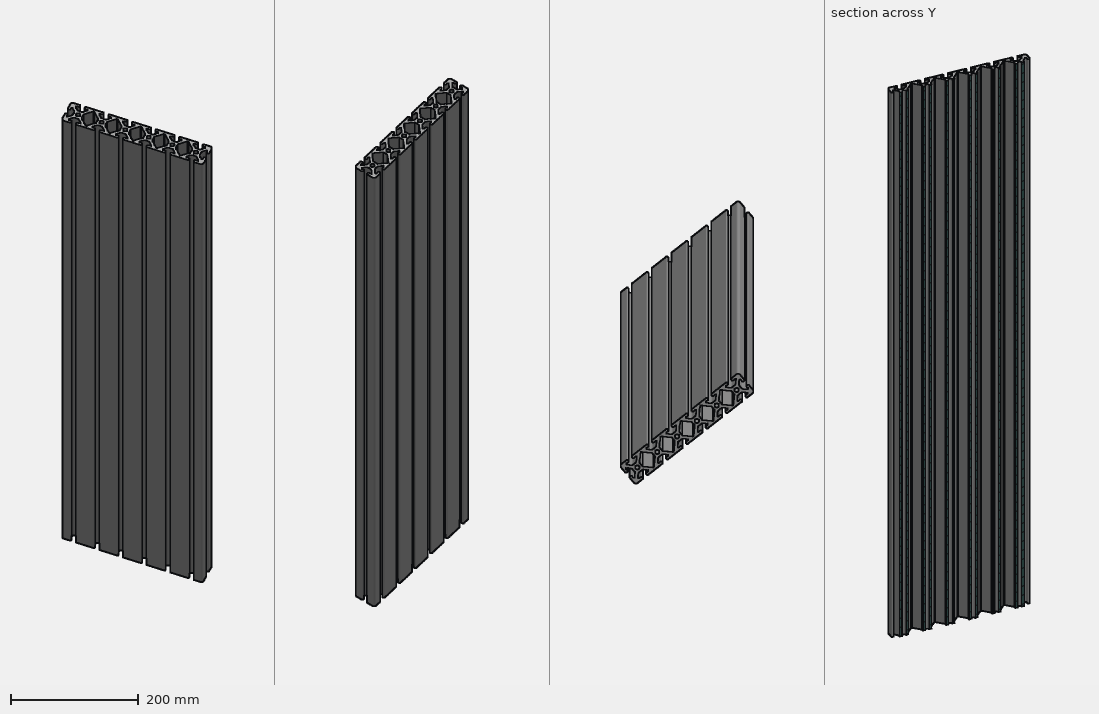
import cadquery as cq
import math

length = 1000.0
module = 40.0
module_count = 6
corner_radius = 4.5
width = module * module_count
depth = module

mouth_width = 8.0
lip_thickness = 4.5
lip_outer_radius = 1.5
lip_inner_radius = 1.0
slot_width = 20.0
slot_corner_radius = 1.0
floor_width = mouth_width
floor_radius = 4.0
floor_to_axis = 7.8
slot_depth = module / 2 - floor_to_axis

bore_diameter = 6.8
chamber_width = 25.0
chamber_height = depth - 2 * lip_thickness
chamber_side_height = 8.0
chamber_chamfer = (chamber_height - chamber_side_height) / 2

shortest_line = 1e-05


def corner_arc(before, corner, after, radius):
    """Start, middle and end of the arc that rounds the corner between two straight lines."""
    corner = cq.Vector(*corner)
    back = (cq.Vector(*before) - corner).normalized()
    ahead = (cq.Vector(*after) - corner).normalized()
    half_angle = back.getAngle(ahead) / 2
    setback = radius / math.tan(half_angle)
    middle_distance = radius / math.sin(half_angle) - radius
    middle = corner + (back + ahead).normalized() * middle_distance
    return corner + back * setback, middle, corner + ahead * setback


def slot_cutter():
    """T-slot prism with its mouth on the plane y = 0 and its floor towards +Y."""
    lip = mouth_width / 2
    side = slot_width / 2
    floor = floor_width / 2
    wall_start = slot_depth - (side - floor)
    right_corners = [
        (lip, 0, lip_outer_radius),
        (lip, lip_thickness, lip_inner_radius),
        (side, lip_thickness, slot_corner_radius),
        (side, wall_start, slot_corner_radius),
        (floor, slot_depth, floor_radius),
    ]
    left_corners = [(-x, y, radius) for x, y, radius in reversed(right_corners)]
    corners = right_corners + left_corners
    flare = lip + lip_outer_radius
    points = [(flare, 0)] + [(x, y) for x, y, _ in corners] + [(-flare, 0)]

    outline = cq.Workplane("XY").moveTo(flare, 0)
    last = cq.Vector(flare, 0)
    for i, (_, _, radius) in enumerate(corners):
        start, middle, end = corner_arc(*points[i : i + 3], radius)
        if (start - last).Length > shortest_line:
            outline = outline.lineTo(start.x, start.y)
        outline = outline.threePointArc((middle.x, middle.y), (end.x, end.y))
        last = end
    return outline.close().extrude(length)


def chamber_cutter():
    """Eight-sided prism standing on the origin."""
    block = cq.Workplane("XY").rect(chamber_width, chamber_height).extrude(length)
    return block.edges("|Z").chamfer(chamber_chamfer)


def evenly_spaced(count):
    """X positions of `count` places one module apart, centred on the origin."""
    return [module * (i - (count - 1) / 2) for i in range(count)]


cutters = []

slot = slot_cutter().translate((0, -depth / 2, 0))
opposite_slot = slot.rotate((0, 0, 0), (0, 0, 1), 180)
bore = cq.Workplane("XY").circle(bore_diameter / 2).extrude(length)
for x in evenly_spaced(module_count):
    for cutter in (slot, opposite_slot, bore):
        cutters.append(cutter.translate((x, 0, 0)).val())

end_x = (width - module) / 2
for x, angle in ((-end_x, -90), (end_x, 90)):
    cutters.append(slot.rotate((0, 0, 0), (0, 0, 1), angle).translate((x, 0, 0)).val())

chamber = chamber_cutter()
for x in evenly_spaced(module_count - 1):
    cutters.append(chamber.translate((x, 0, 0)).val())

bar = cq.Workplane("XY").rect(width, depth).extrude(length).edges("|Z").fillet(corner_radius)
result = cq.Workplane("XY").newObject(bar.val().cut(*cutters).Solids())